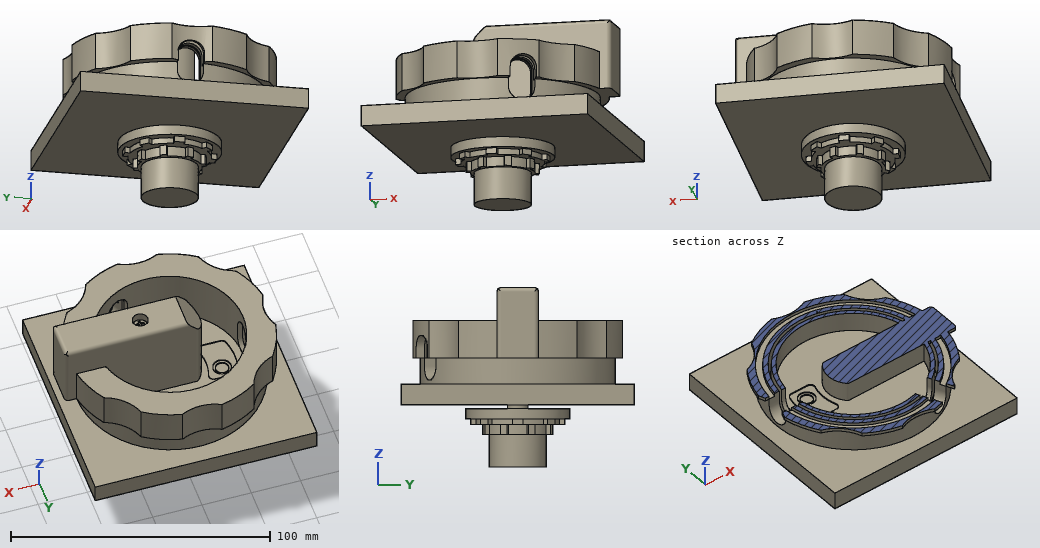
import cadquery as cq
import math

shaft_bottom = -32.0
small_gear_bottom = -19.5
large_gear_bottom = -15.7
flange_bottom = -13.4
flange_top = -9.5
plate_bottom = -8.0
floor_height = 2.7
ring_bottom = 10.0
ring_top = 24.6
handle_top = 37.3

plate_size = 90.0
stub_radius = 4.05
flange_radius = 20.1
shaft_radius = 11.1
tooth_count = 8
large_gear_core, large_gear_tip, large_tooth_width = 16.2, 18.2, 4.1
small_gear_core, small_gear_tip, small_tooth_width = 12.5, 14.1, 2.7

base_radius = 37.7
ring_radius = 41.2
bowl_radius = 29.7
scallop_count = 8
scallop_half_width = 8.0
scallop_floor_radius = 38.5
shell_gap_inner, shell_gap_outer = 35.0, base_radius
liner_gap_inner, liner_gap_outer = 31.7, 32.8
liner_gap_bottom = 0.9
gap_top = 21.6

slot_angles = (180.0, -64.7)
slot_width = 10.35
slot_bottom = 1.5
slot_top = 18.8

slide_half_length = 9.0
slide_outer_radius = 26.5
slide_inner_x, slide_inner_corner_x = -14.8, -12.5
slide_corner_radius = 2.0
slide_depth = 0.45
rivet_x, rivet_y = -20.1, 3.6
rivet_radius, rivet_core_radius = 3.6, 2.6
rivet_step = 0.45

handle_half_width = 8.0
handle_end = plate_size / 2
nose_tip_x = -12.2
nose_corner_x = -8.8
nose_corner_radius = 1.4
nose_bevel = 7.6
handle_edge_radius = 1.6

screw_x = 12.0
screw_radius = 3.1
screw_edge_depth = 3.4
screw_dome_height = 1.3
cross_length, cross_width, cross_depth = 3.15, 0.7, 0.7


def disc(radius, bottom, top):
    return cq.Workplane("XY").workplane(offset=bottom).circle(radius).extrude(top - bottom)


def tube(inner, outer, bottom, top):
    return disc(outer, bottom, top).cut(disc(inner, bottom, top))


def polar(radius, angle):
    return radius * math.cos(angle), radius * math.sin(angle)


def gear(core, tip, tooth_width, bottom, top, first_angle):
    """Round core with straight-sided teeth spaced evenly around it."""
    wheel = disc(core, bottom, top)
    tooth = cq.Workplane("XY").box(tip, tooth_width, top - bottom, centered=(False, True, False))
    tooth = tooth.translate((0, 0, bottom))
    for i in range(tooth_count):
        wheel = wheel.union(tooth.rotate((0, 0, 0), (0, 0, 1), first_angle + i * 360 / tooth_count))
    return wheel


def mounting_plate():
    plate = cq.Workplane("XY").box(plate_size, plate_size, -plate_bottom, centered=(True, True, False))
    return plate.translate((0, 0, plate_bottom))


def coupling():
    """Shaft, two gears, flange and stub stacked below the plate."""
    tooth_pitch = 360 / tooth_count
    large_gear = gear(large_gear_core, large_gear_tip, large_tooth_width,
                      large_gear_bottom, flange_bottom, 0)
    small_gear = gear(small_gear_core, small_gear_tip, small_tooth_width,
                      small_gear_bottom, large_gear_bottom, tooth_pitch / 2)
    return (
        disc(shaft_radius, shaft_bottom, small_gear_bottom)
        .union(small_gear)
        .union(large_gear)
        .union(disc(flange_radius, flange_bottom, flange_top))
        .union(disc(stub_radius, flange_top, plate_bottom))
    )


def grip_ring():
    """Disc whose rim alternates between lobes and shallow scallops."""
    pitch = 2 * math.pi / scallop_count
    half_scallop = math.asin(scallop_half_width / ring_radius)
    outline = cq.Workplane("XY").workplane(offset=ring_bottom).moveTo(*polar(ring_radius, -half_scallop))
    for i in range(scallop_count):
        middle = i * pitch
        outline = outline.threePointArc(
            polar(scallop_floor_radius, middle), polar(ring_radius, middle + half_scallop)
        )
        outline = outline.threePointArc(
            polar(ring_radius, middle + pitch / 2), polar(ring_radius, middle + pitch - half_scallop)
        )
    return outline.close().extrude(ring_top - ring_bottom)


def padlock_slot(angle):
    """Upright rounded slot from the bowl wall outward."""
    slot = (
        cq.Workplane("YZ")
        .center(0, (slot_bottom + slot_top) / 2)
        .slot2D(slot_top - slot_bottom, slot_width, 90)
        .extrude(ring_radius)
    )
    return slot.cut(disc(bowl_radius, slot_bottom, slot_top)).rotate((0, 0, 0), (0, 0, 1), angle)


def bowl():
    """Base and grip ring, hollowed by the bowl, two annular gaps and the slots."""
    body = disc(base_radius, 0, ring_bottom).union(grip_ring())
    body = body.cut(disc(bowl_radius, floor_height, ring_top))
    body = body.cut(tube(shell_gap_inner, shell_gap_outer, ring_bottom, gap_top))
    body = body.cut(tube(liner_gap_inner, liner_gap_outer, liner_gap_bottom, gap_top))
    for angle in slot_angles:
        body = body.cut(padlock_slot(angle))
    return body


def padlock_slide():
    """Recess in the bowl floor with a stepped rivet hole."""
    outer_corner_x = -math.sqrt(slide_outer_radius**2 - slide_half_length**2)
    recess_bottom = floor_height - slide_depth
    recess = (
        cq.Workplane("XY")
        .workplane(offset=recess_bottom)
        .moveTo(slide_inner_corner_x, slide_half_length)
        .lineTo(outer_corner_x, slide_half_length)
        .threePointArc((-slide_outer_radius, 0), (outer_corner_x, -slide_half_length))
        .lineTo(slide_inner_corner_x, -slide_half_length)
        .threePointArc((slide_inner_x, 0), (slide_inner_corner_x, slide_half_length))
        .close()
        .extrude(slide_depth)
        .edges("|Z")
        .fillet(slide_corner_radius)
    )
    rivet = disc(rivet_radius, recess_bottom - rivet_step, recess_bottom)
    rivet = rivet.union(disc(rivet_core_radius, recess_bottom - 2 * rivet_step, recess_bottom))
    return recess.union(rivet.translate((rivet_x, rivet_y, 0)))


def screw_pocket():
    """Round hole whose bottom is a domed screw head with a cross recess."""
    edge_height = handle_top - screw_edge_depth
    dome_top = edge_height + screw_dome_height
    sphere_radius = (screw_radius**2 + screw_dome_height**2) / (2 * screw_dome_height)
    dome = cq.Workplane("XY").sphere(sphere_radius).translate((0, 0, dome_top - sphere_radius))
    pocket = disc(screw_radius, edge_height, handle_top).cut(dome)
    for size in ((cross_length, cross_width), (cross_width, cross_length)):
        arm = cq.Workplane("XY").box(*size, cross_depth, centered=(True, True, False))
        pocket = pocket.union(arm.translate((0, 0, dome_top - cross_depth)))
    return pocket.translate((screw_x, 0, 0))


def handle():
    """Bar from the bowl floor to the plate edge, with a round bevelled nose."""
    bar = (
        cq.Workplane("XY")
        .workplane(offset=floor_height)
        .moveTo(handle_end, -handle_half_width)
        .lineTo(handle_end, handle_half_width)
        .lineTo(nose_corner_x, handle_half_width)
        .threePointArc((nose_tip_x, 0), (nose_corner_x, -handle_half_width))
        .close()
        .extrude(handle_top - floor_height)
    )
    bar = bar.edges("|Z and (not >X)").fillet(nose_corner_radius)
    bevel = (
        cq.Workplane("XZ")
        .moveTo(nose_tip_x, handle_top)
        .lineTo(nose_tip_x + nose_bevel, handle_top)
        .lineTo(nose_tip_x, handle_top - nose_bevel)
        .close()
        .extrude(handle_half_width, both=True)
    )
    bar = bar.cut(bevel)
    upright = bar.edges(">X and |Z").fillet(handle_edge_radius)
    lengthwise = bar.edges(">Z and |X").fillet(handle_edge_radius)
    crosswise = bar.edges(">X and >Z").fillet(handle_edge_radius)
    bar = upright.intersect(lengthwise).intersect(crosswise)
    below_ring = tube(bowl_radius, plate_size, floor_height, ring_bottom)
    return bar.cut(below_ring).cut(screw_pocket())


result = mounting_plate().union(coupling()).union(bowl().cut(padlock_slide())).union(handle())